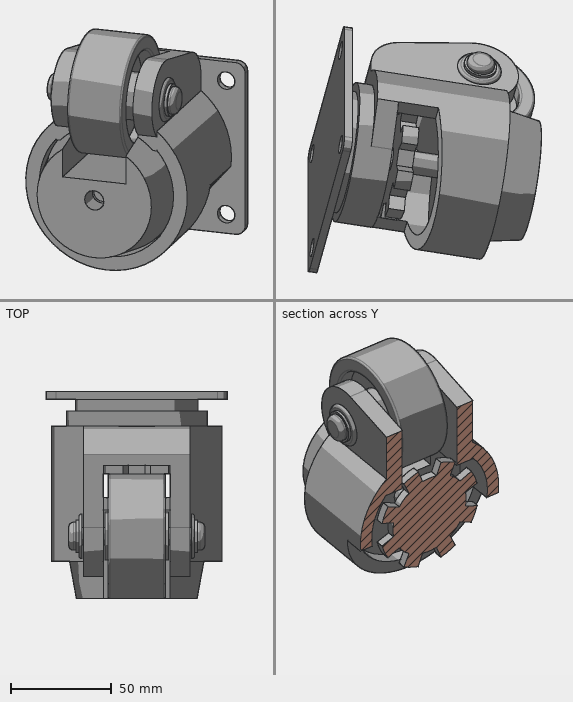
import cadquery as cq
import math


plate_side = 90.0
plate_thickness = 4.0
plate_corner_radius = 5.0
hole_spacing = 70.0
hole_diameter = 9.0

flange_radius = 30.5
flange_depth = 9.8
collar_radius = 35.0
collar_front = 28.0

body_radius = 42.5
bore_radius = 35.3
body_back = 17.3
body_front = 84.4

window_top = -4.6
window_front_top = 48.2
window_front_bottom = 54.5

fork_width = 53.0
fork_rise_angle = math.radians(12.2)
fork_nose_radius = 20.0
fork_shoulder_radius = 17.9
slot_width = 33.2
slot_back = 36.8
slot_floor = 10.5

total_height = 122.0
overall_depth = 103.0
roller_radius = 31.0
roller_width = 28.5
roller_rounding = 1.0
recess_radius = 23.3
recess_depth = 8.0
hub_radius = 12.0
hub_width = 31.5
axle_radius = 4.4
axle_depth = overall_depth - roller_radius
axle_height = total_height - plate_side / 2 - roller_radius

cap_flange_start = 27.2
cap_ring_start = 28.8
cap_dome_start = 30.3
cap_end = 33.8
cap_flange_radius = 11.1
cap_flange_rounding = 1.5
cap_ring_radius = 8.2
cap_dome_radius = 7.0
cap_dome_rounding = 2.5

spindle_radius = 5.7
wheel_radius = 30.0
wheel_back = 33.0
wheel_thickness = 8.0
notch_count = 8
notch_floor_radius = 22.6
notch_floor_half_width = 4.1
notch_mouth_half_width = 6.8
foot_back = 59.0
foot_taper_start = 78.0
foot_radius = 34.6
foot_tip_radius = 30.0
foot_hole_radius = 5.0
foot_hole_depth = 12.2
foot_hole_chamfer = 0.6


def at_depth(depth):
    """Workplane facing -Y at the given depth; its axes are X and Z."""
    return cq.Workplane("XZ", origin=(0, -depth, 0))


def disc(radius, back, front):
    """Cylinder on the levelling axis."""
    return at_depth(back).circle(radius).extrude(front - back)


def axle_cylinder(radius, start, end):
    """Cylinder on the axle line, from X = start to X = end."""
    return (
        cq.Workplane("YZ", origin=(start, -axle_depth, axle_height))
        .circle(radius)
        .extrude(end - start)
    )


def make_plate():
    """Square plate with rounded corners and four screw holes."""
    return (
        at_depth(0)
        .rect(plate_side, plate_side)
        .extrude(plate_thickness)
        .edges("|Y")
        .fillet(plate_corner_radius)
        .faces("<Y")
        .workplane()
        .rect(hole_spacing, hole_spacing, forConstruction=True)
        .vertices()
        .hole(hole_diameter)
    )


def make_body():
    """Tube with a closed back and a window cut in its underside."""
    body = disc(body_radius, body_back, body_front)
    bore = disc(bore_radius, collar_front, body_front)

    tangent_x = fork_width / 2
    tangent_z = -math.sqrt(collar_radius**2 - tangent_x**2)
    shoulder_x = (collar_radius**2 - tangent_z * window_top) / tangent_x
    outer = 2 * body_radius
    back_trim = (
        at_depth(body_back)
        .moveTo(-outer, window_top)
        .lineTo(-shoulder_x, window_top)
        .lineTo(-tangent_x, tangent_z)
        .lineTo(tangent_x, tangent_z)
        .lineTo(shoulder_x, window_top)
        .lineTo(outer, window_top)
        .lineTo(outer, -outer)
        .lineTo(-outer, -outer)
        .close()
        .extrude(collar_front - body_back)
    )
    window = (
        cq.Workplane("YZ")
        .moveTo(-collar_front, window_top)
        .lineTo(-window_front_top, window_top)
        .lineTo(-window_front_bottom, -body_radius)
        .lineTo(-collar_front, -body_radius)
        .close()
        .extrude(body_radius, both=True)
    )
    return body.cut(bore).cut(back_trim).cut(window)


def make_fork():
    """Block with a sloping top, a rounded shoulder and a rounded nose."""
    bottom = math.sqrt(collar_radius**2 - (fork_width / 2) ** 2)
    nose_y = -axle_depth
    rise_y = nose_y + fork_nose_radius * math.sin(fork_rise_angle)
    rise_z = axle_height + fork_nose_radius * math.cos(fork_rise_angle)
    shoulder_z = rise_z - (-body_back - rise_y) * math.tan(fork_rise_angle)
    reach = body_front - axle_depth
    nose_end_z = axle_height - math.sqrt(fork_nose_radius**2 - reach**2)
    profile = (
        cq.Workplane("YZ")
        .moveTo(-body_back, bottom)
        .lineTo(-body_back, shoulder_z)
        .lineTo(rise_y, rise_z)
        .threePointArc((nose_y - fork_nose_radius, axle_height), (-body_front, nose_end_z))
        .lineTo(-body_front, bottom)
        .close()
    )
    fork = profile.extrude(fork_width / 2, both=True)
    shoulder = cq.selectors.NearestToPointSelector((0, -body_back, shoulder_z))
    return fork.edges("|X").edges(shoulder).fillet(fork_shoulder_radius)


def make_foot():
    """Cylindrical foot that tapers toward its tip."""
    return (
        cq.Workplane("XY")
        .moveTo(0, -foot_back)
        .lineTo(foot_radius, -foot_back)
        .lineTo(foot_radius, -foot_taper_start)
        .lineTo(foot_tip_radius, -overall_depth)
        .lineTo(0, -overall_depth)
        .close()
        .revolve(360, (0, 0), (0, 1))
    )


def make_foot_hole():
    """Blind hole in the tip of the foot, narrowed at its bottom."""
    start = overall_depth - foot_hole_depth
    return disc(foot_hole_radius, start, overall_depth).faces(">Y").chamfer(foot_hole_chamfer)


def make_roller_slot():
    """Clearance for the roller through the body, the fork and the foot."""
    return (
        at_depth(slot_back)
        .moveTo(0, slot_floor)
        .rect(slot_width, total_height, centered=(True, False))
        .extrude(overall_depth - slot_back)
    )


def make_thumbwheel():
    """Wheel with flared notches around its rim, the first one at the top."""
    wheel = disc(wheel_radius, wheel_back, wheel_back + wheel_thickness)
    mouth_height = math.sqrt(wheel_radius**2 - notch_mouth_half_width**2)
    flare = (notch_mouth_half_width - notch_floor_half_width) / (mouth_height - notch_floor_radius)

    rim_half_width = notch_floor_half_width + flare * (wheel_radius - notch_floor_radius)
    floor_height = math.sqrt(notch_floor_radius**2 - notch_floor_half_width**2)
    notch = (
        at_depth(wheel_back)
        .moveTo(-notch_floor_half_width, floor_height)
        .threePointArc((0, notch_floor_radius), (notch_floor_half_width, floor_height))
        .lineTo(rim_half_width, wheel_radius)
        .lineTo(-rim_half_width, wheel_radius)
        .close()
        .extrude(wheel_thickness)
    )
    for i in range(notch_count):
        wheel = wheel.cut(notch.rotate((0, 0, 0), (0, 1, 0), i * 360 / notch_count))
    return wheel


def make_roller():
    """Tyre with a deep recess in each side and a hub that stands proud of it."""
    half = roller_width / 2
    roller = axle_cylinder(roller_radius, -half, half)
    for start in (-half, half - recess_depth):
        roller = roller.cut(axle_cylinder(recess_radius, start, start + recess_depth))
    roller = roller.faces("<X or >X").edges().fillet(roller_rounding)
    return roller.union(axle_cylinder(hub_radius, -hub_width / 2, hub_width / 2))


def make_axle():
    """Axle with a stepped, domed cap on each end."""
    flange = axle_cylinder(cap_flange_radius, cap_flange_start, cap_ring_start)
    flange = flange.faces(">X").edges().fillet(cap_flange_rounding)
    ring = axle_cylinder(cap_ring_radius, cap_ring_start, cap_dome_start)
    dome = axle_cylinder(cap_dome_radius, cap_dome_start, cap_end)
    dome = dome.faces(">X").edges().fillet(cap_dome_rounding)
    cap = flange.union(ring).union(dome)
    axle = axle_cylinder(axle_radius, -cap_flange_start, cap_flange_start)
    return axle.union(cap).union(cap.mirror("YZ"))


frame = make_body().union(make_fork()).union(make_foot())
frame = frame.cut(make_roller_slot()).cut(make_foot_hole())

result = (
    make_plate()
    .union(disc(flange_radius, plate_thickness, flange_depth))
    .union(disc(collar_radius, flange_depth, collar_front))
    .union(frame)
    .union(disc(spindle_radius, collar_front, foot_back))
    .union(make_thumbwheel())
    .union(make_roller())
    .union(make_axle())
)